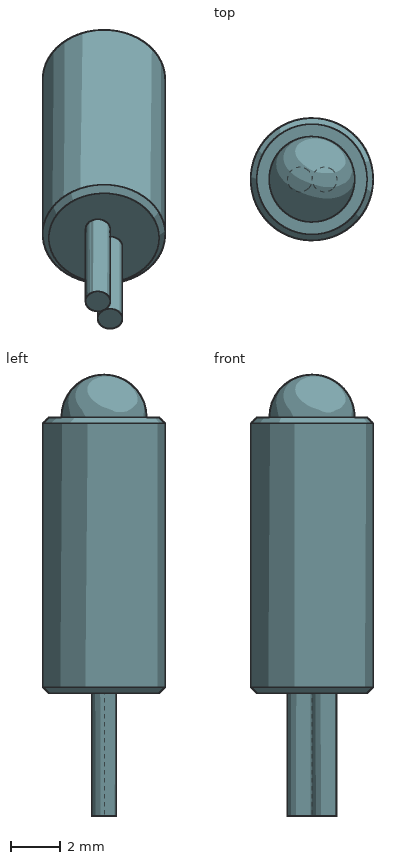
import cadquery as cq

total_height = 18.0
body_diameter = 5.0
dome_radius = 1.75
lead_length = 5.0
lead_diameter = 1.0
edge_chamfer = 0.25

body_height = total_height - lead_length - dome_radius
body_top = lead_length + body_height
lead_offset = lead_diameter / 2


def make_body():
    """Cylindrical housing with both end edges chamfered."""
    return (
        cq.Workplane("XY", origin=(0, 0, lead_length))
        .circle(body_diameter / 2)
        .extrude(body_height)
        .edges()
        .chamfer(edge_chamfer)
    )


def make_dome():
    """Spherical lens; its lower half is buried in the housing."""
    return cq.Workplane("XY", origin=(0, 0, body_top)).sphere(dome_radius)


def make_lead(x):
    """Straight round lead running from Z = 0 up to the housing."""
    return (
        cq.Workplane("XY")
        .center(x, 0)
        .circle(lead_diameter / 2)
        .extrude(lead_length)
    )


result = make_body().union(make_dome())
for side in (-1, 1):
    result = result.union(make_lead(side * lead_offset))